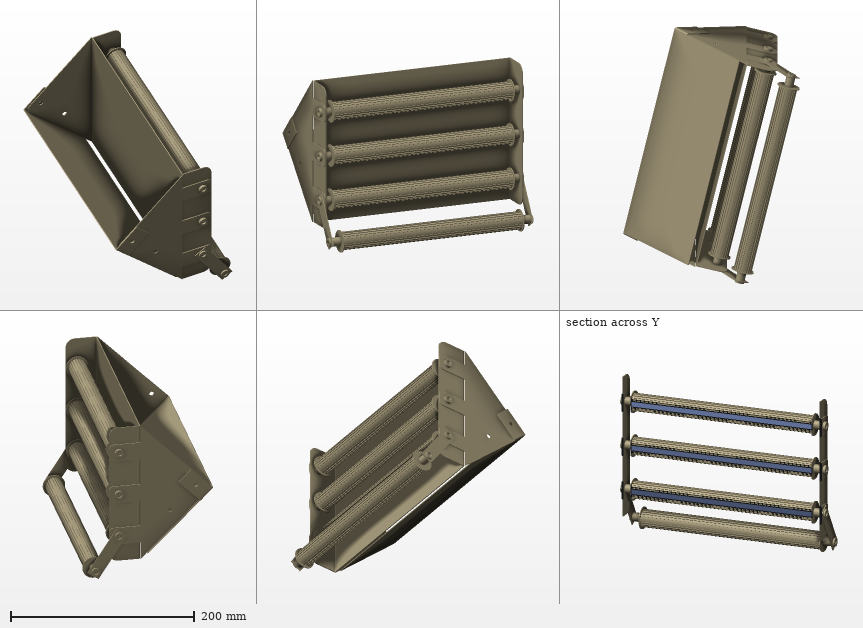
import cadquery as cq
import math


LENGTH = 242.0
SHEET = 1.0
SIDE_SPAN = 236.2

CHANNEL_HEIGHT = 160.0
FLANGE_DEPTH = 34.8
FLANGE_CORNER_RADIUS = 10.0

AXLE_Y = 24.0
ROLLER_PITCH = 50.0
SIDE_TIP_RADIUS = 7.7
FINGER_HEIGHT = 20.0
FINGER_CORNER_RADIUS = 5.0

SHAFT_DIAMETER = 10.0
DRUM_DIAMETER = 20.0
DISC_DIAMETER = 25.0
DISC_SPAN = 214.5
FLUTE_COUNT = 22
FLUTE_SIZE = 1.0
BORE_DIAMETER = 5.0
BORE_DEPTH = 2.0
PILOT_DIAMETER = 1.5
PILOT_DEPTH = 2.0

ARM_LENGTH = 59.5
ARM_WIDTH = 14.8
ARM_HOLE_SPACING = 48.0
ARM_ANGLE = 57.1

COVER_END_GAP = 10.2
TAB_WIDTH = 20.0
TAB_HEIGHT = 35.0
TAB_HOLE_HEIGHT = 18.0
BOLT_HOLE_DIAMETER = 5.0
BOLT_HOLE_SPACING = 40.0

HALF_LENGTH = LENGTH / 2
HALF_HEIGHT = CHANNEL_HEIGHT / 2
SIDE_OUTER_X = SIDE_SPAN / 2
FLANGE_OUTER_X = SIDE_OUTER_X - SHEET
BEND_INNER_RADIUS = SHEET / 2
BEND_OUTER_RADIUS = BEND_INNER_RADIUS + SHEET
APEX_Y = -HALF_HEIGHT
ROLLER_HEIGHTS = (ROLLER_PITCH, 0.0, -ROLLER_PITCH)
ARM_PIVOT_Z = ROLLER_HEIGHTS[-1]
SWING_Y = AXLE_Y + ARM_HOLE_SPACING * math.cos(math.radians(ARM_ANGLE))
SWING_Z = ARM_PIVOT_Z - ARM_HOLE_SPACING * math.sin(math.radians(ARM_ANGLE))


def x_cylinder(diameter, x_start, x_end, y=0.0, z=0.0):
    """A cylinder parallel to X."""
    return (
        cq.Workplane("YZ", origin=(x_start, y, z))
        .circle(diameter / 2)
        .extrude(x_end - x_start)
    )


def x_through_cylinder(diameter, y, z):
    """A cutting cylinder that spans the whole assembly along X."""
    return x_cylinder(diameter, -LENGTH, LENGTH, y, z)


def bent_sheet(plane, half_width, leg_height, run):
    """A U of bent sheet on a plane: base along local X, legs towards local +Y, extruded by run."""
    inner_x = half_width - SHEET
    flat_x = half_width - BEND_OUTER_RADIUS
    diagonal = math.sqrt(0.5)
    outer_mid_x = flat_x + BEND_OUTER_RADIUS * diagonal
    outer_mid_y = BEND_OUTER_RADIUS * (1 - diagonal)
    inner_mid_x = flat_x + BEND_INNER_RADIUS * diagonal
    inner_mid_y = BEND_OUTER_RADIUS - BEND_INNER_RADIUS * diagonal
    return (
        cq.Workplane(plane)
        .moveTo(-flat_x, 0)
        .lineTo(flat_x, 0)
        .threePointArc((outer_mid_x, outer_mid_y), (half_width, BEND_OUTER_RADIUS))
        .lineTo(half_width, leg_height)
        .lineTo(inner_x, leg_height)
        .lineTo(inner_x, BEND_OUTER_RADIUS)
        .threePointArc((inner_mid_x, inner_mid_y), (flat_x, SHEET))
        .lineTo(-flat_x, SHEET)
        .threePointArc((-inner_mid_x, inner_mid_y), (-inner_x, BEND_OUTER_RADIUS))
        .lineTo(-inner_x, leg_height)
        .lineTo(-half_width, leg_height)
        .lineTo(-half_width, BEND_OUTER_RADIUS)
        .threePointArc((-outer_mid_x, outer_mid_y), (-flat_x, 0))
        .close()
        .extrude(run)
    )


def make_channel():
    base = cq.Plane(origin=(0, 0, -HALF_HEIGHT), xDir=(1, 0, 0), normal=(0, 0, 1))
    channel = bent_sheet(base, FLANGE_OUTER_X, FLANGE_DEPTH, CHANNEL_HEIGHT)
    channel = channel.faces(">Y").edges("|X").edges(">Z or <Z").fillet(FLANGE_CORNER_RADIUS)
    for height in ROLLER_HEIGHTS:
        channel = channel.cut(x_through_cylinder(SHAFT_DIAMETER, AXLE_Y, height))
    return channel


SLOPE_LENGTH = HALF_HEIGHT * math.sqrt(2)
COVER_LEFT_X = -HALF_LENGTH
COVER_RIGHT_X = SIDE_OUTER_X + SHEET
COVER_CENTRE_X = (COVER_LEFT_X + COVER_RIGHT_X) / 2
COVER_HALF_WIDTH = (COVER_RIGHT_X - COVER_LEFT_X) / 2
TAB_HOLE_ALONG = TAB_WIDTH / 2
SIDE_HOLE_ALONG = TAB_HOLE_ALONG + BOLT_HOLE_SPACING


def slope_point(along, height):
    """(Y, Z) at a distance down the lower slope and a height above the underside of the cover."""
    above_edge = height - SHEET
    y = APEX_Y + (along + above_edge) * math.sqrt(0.5)
    z = (above_edge - along) * math.sqrt(0.5)
    return y, z


def bolt_hole(along):
    return x_through_cylinder(BOLT_HOLE_DIAMETER, *slope_point(along, TAB_HOLE_HEIGHT))


def make_cover():
    corner_y, corner_z = slope_point(0, 0)
    top_edge = cq.Plane(
        origin=(COVER_CENTRE_X, corner_y, corner_z), xDir=(1, 0, 0), normal=(0, -1, 1)
    )
    tabs = bent_sheet(top_edge, COVER_HALF_WIDTH, TAB_HEIGHT, -TAB_WIDTH)
    flat_width = 2 * (COVER_HALF_WIDTH - BEND_OUTER_RADIUS)
    sheet = (
        cq.Workplane(top_edge)
        .center(0, SHEET / 2)
        .rect(flat_width, SHEET)
        .extrude(COVER_END_GAP - SLOPE_LENGTH)
    )
    return tabs.union(sheet).cut(bolt_hole(TAB_HOLE_ALONG))


def make_side_plate(inner_x, cover):
    blank = cq.Workplane("YZ", origin=(inner_x, 0, 0))
    plate = (
        blank.polyline([(0, HALF_HEIGHT), (APEX_Y, 0), (0, -HALF_HEIGHT)])
        .close()
        .extrude(SHEET)
        .edges("|X and <Y")
        .fillet(SIDE_TIP_RADIUS)
    )
    for height in ROLLER_HEIGHTS:
        finger = (
            blank.center(FLANGE_DEPTH / 2, height)
            .rect(FLANGE_DEPTH, FINGER_HEIGHT)
            .extrude(SHEET)
            .edges("|X and >Y")
            .fillet(FINGER_CORNER_RADIUS)
        )
        plate = plate.union(finger).cut(x_through_cylinder(SHAFT_DIAMETER, AXLE_Y, height))
    for along in (TAB_HOLE_ALONG, SIDE_HOLE_ALONG):
        plate = plate.cut(bolt_hole(along))
    return plate.cut(cover)


def make_roller(y, z):
    drum_end = DISC_SPAN / 2 - SHEET
    roller = x_cylinder(DRUM_DIAMETER, -drum_end, drum_end)
    flutes = (
        cq.Workplane("YZ", origin=(-drum_end, 0, 0))
        .polarArray(DRUM_DIAMETER / 2, 90, 360, FLUTE_COUNT)
        .rect(2 * FLUTE_SIZE, FLUTE_SIZE)
        .extrude(2 * drum_end)
    )
    roller = roller.cut(flutes)
    roller = roller.union(x_cylinder(SHAFT_DIAMETER, -HALF_LENGTH, HALF_LENGTH))
    for side in (-1, 1):
        disc = x_cylinder(DISC_DIAMETER, side * drum_end, side * DISC_SPAN / 2)
        bore_end = side * (HALF_LENGTH - BORE_DEPTH)
        bore = x_cylinder(BORE_DIAMETER, bore_end, side * HALF_LENGTH)
        pilot = x_cylinder(PILOT_DIAMETER, bore_end - side * PILOT_DEPTH, bore_end)
        roller = roller.union(disc).cut(bore).cut(pilot)
    return roller.translate((0, y, z))


def make_arm(inner_x):
    centre_y = (AXLE_Y + SWING_Y) / 2
    centre_z = (ARM_PIVOT_Z + SWING_Z) / 2
    return (
        cq.Workplane("YZ", origin=(inner_x, centre_y, centre_z))
        .transformed(rotate=(0, 0, -ARM_ANGLE))
        .rect(ARM_LENGTH, ARM_WIDTH)
        .pushPoints([(-ARM_HOLE_SPACING / 2, 0), (ARM_HOLE_SPACING / 2, 0)])
        .circle(SHAFT_DIAMETER / 2)
        .extrude(SHEET)
    )


channel = make_channel()
cover = make_cover()
side_plates = [make_side_plate(inner_x, cover) for inner_x in (-SIDE_OUTER_X, FLANGE_OUTER_X)]
arms = [make_arm(inner_x) for inner_x in (-SIDE_OUTER_X - SHEET, SIDE_OUTER_X)]

roller_places = [(AXLE_Y, height) for height in ROLLER_HEIGHTS]
roller_places.append((SWING_Y, SWING_Z))
rollers = [make_roller(y, z) for y, z in roller_places]

bodies = [channel, cover, *side_plates, *arms, *rollers]
result = cq.Compound.makeCompound([body.val() for body in bodies])